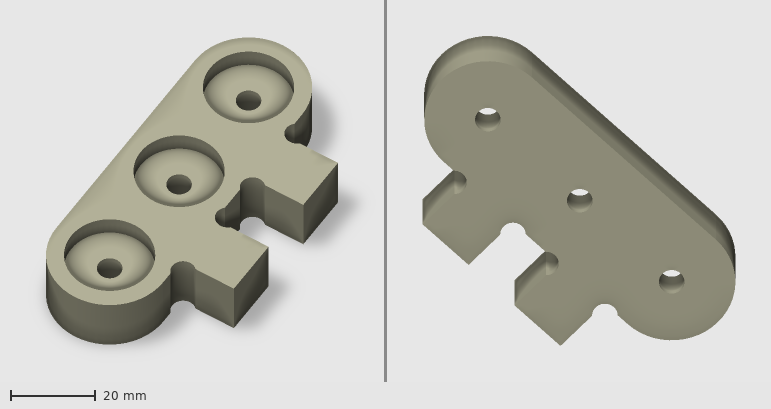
import cadquery as cq
import math

thickness = 15.0
body_width = 30.0
station_pitch = 30.0
station_count = 3
hole_diameter = 6.01
pocket_diameter = 21.5
pocket_depth = 5.0
knuckle_width = station_pitch / 2
knuckle_reach = 15.0
relief_radius = 3.0

station_span = station_pitch * (station_count - 1)
body_edge_x = body_width / 2
relief_offset = relief_radius / math.sqrt(2)

station_points = [(0, i * station_pitch - station_span / 2) for i in range(station_count)]
knuckle_centers_y = [y + station_pitch / 2 for _, y in station_points[:-1]]


def make_body():
    """Round-ended bar along Y, standing on Z = 0."""
    return (
        cq.Workplane("XY")
        .slot2D(station_span + body_width, body_width, 90)
        .extrude(thickness)
    )


def make_knuckle(center_y):
    """Square-ended tab running from the body centreline out past its +X edge."""
    length = body_edge_x + knuckle_reach
    return (
        cq.Workplane("XY")
        .center(length / 2, center_y)
        .rect(length, knuckle_width)
        .extrude(thickness)
    )


def make_corner_reliefs(center_y):
    """Pair of full-height round reliefs in the inner corners of one knuckle."""
    relief_x = body_edge_x + relief_offset
    relief_dy = knuckle_width / 2 + relief_offset
    return (
        cq.Workplane("XY")
        .pushPoints([(relief_x, center_y - relief_dy), (relief_x, center_y + relief_dy)])
        .circle(relief_radius)
        .extrude(thickness)
    )


def cut_stations(part):
    """Counterbored through hole at every station, opening on the top face."""
    return (
        part.faces(">Z")
        .workplane(origin=(0, 0, thickness))
        .pushPoints(station_points)
        .cboreHole(hole_diameter, pocket_diameter, pocket_depth)
    )


result = make_body()
for knuckle_y in knuckle_centers_y:
    result = result.union(make_knuckle(knuckle_y))
for knuckle_y in knuckle_centers_y:
    result = result.cut(make_corner_reliefs(knuckle_y))
result = cut_stations(result)